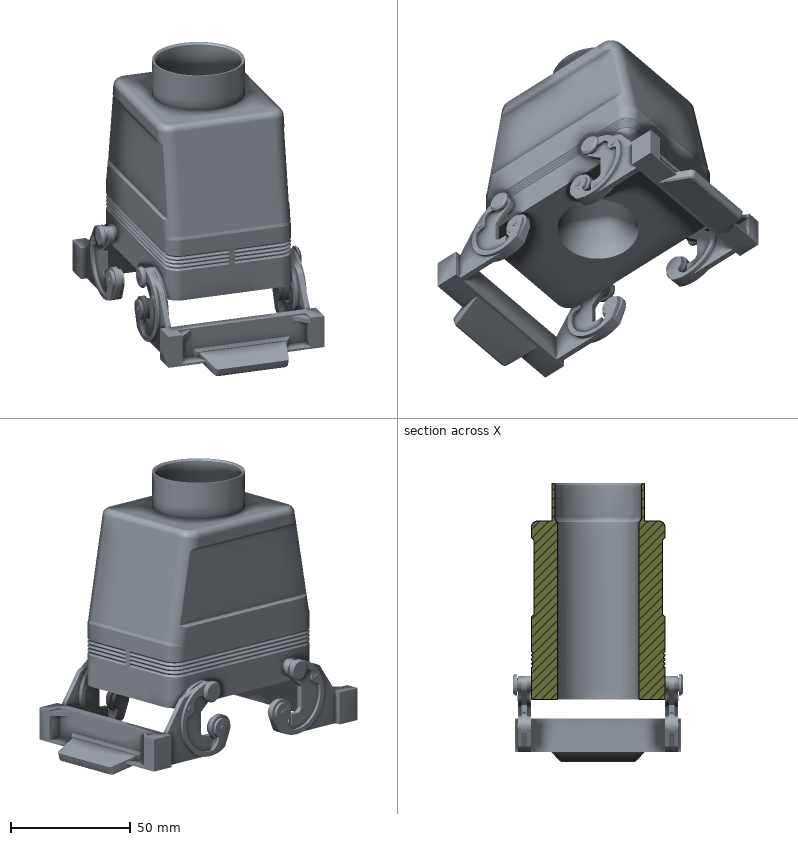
import cadquery as cq
import math

BODY_LENGTH = 82.0
BODY_DEPTH = 56.2
BODY_TOP = 74.9
TOP_LENGTH = 63.5
CORNER_RADIUS = 6.1
TOP_EDGE_RADIUS = 2.9
LEDGE_BOTTOM = 27.1
LEDGE_TOP = 28.5
LEDGE_INSET = 0.5

PANEL_BOTTOM = 34.5
PANEL_TOP = 67.9
PANEL_DEPTH = 1.0

GROOVE_COUNT = 4
GROOVE_TOP = 20.1
GROOVE_PITCH = 1.7
GROOVE_WIDTH = 1.5
GROOVE_SLOPE = 45
GROOVE_GAP = 2.7

COLLAR_TOP = 90.5
COLLAR_RADIUS = 19.4
COLLAR_BORE_RADIUS = 18.1
COLLAR_BORE_FLOOR = 73.7
COLLAR_RIM_CHAMFER = 0.7
COLLAR_RIM_SLOPE = 45
ENTRY_RADIUS = 17.0
COLLAR_ROOT_RADIUS = 2.7

RIM_INSIDE = BODY_DEPTH / 2
WEB_INSIDE = 29.8
WEB_OUTSIDE = 32.1
RIM_OUTSIDE = 33.4
STUD_OUTSIDE = 33.8
PIVOT_HEAD_INSIDE = 33.9
PIVOT_HEAD_OUTSIDE = 35.5

HOOK_X = -24.9
HOOK_Z = -6.1
HOOK_RADIUS = 16.0
RIM_INNER_RADIUS = 13.8
PIVOT_Z = 6.1
EYE_RADIUS = HOOK_Z + HOOK_RADIUS - PIVOT_Z
PIVOT_NECK_RADIUS = 2.8
PIVOT_HEAD_RADIUS = 4.5
PIVOT_HEAD_CHAMFER = 0.8
CURL_X = -17.5
CURL_Z = -11.3
CURL_WEB_RADIUS = 5.5
CURL_RIM_RADIUS = 4.3
STUD_RADIUS = 1.3
LUG_X = -36.5
LUG_Z = 0.5
LUG_RADIUS = 2.5
THROAT_X = -29.0
THROAT_TOP = -2.4
THROAT_BOTTOM = -13.5
THROAT_RADIUS = 2.4
SPUR_X = -23.5
OUTER_BLEND_ANGLE = -58
CURL_BLEND_ANGLE = -30
CURL_JOIN_ANGLE = -122
CURL_TOP_ANGLE = 106
CRESCENT_BEND = (-21.2, -18.1)
EYE_BACK_ANGLE = 109
EYE_FRONT_ANGLE = 20
EYE_THROAT_ANGLE = -52
SHOULDER_FOOT = (-40.3, 3.7)
SHOULDER_BEND = (-39.3, 4.9)
SHOULDER_HEAD = (-37.9, 5.6)
RIM_TIP_RADIUS = 3.0
RIM_NECK_X = -30.2
RIM_NECK_BEND = (-33.0, 4.3)
RIM_NECK_Z = 5.0
LUG_HIGH_ANGLE = 15
LUG_MIDDLE_ANGLE = -40
LUG_LOW_ANGLE = -95
LUG_FOOT_ANGLE = 167

BAR_OUTER_X = -58.8
BAR_INNER_X = -48.6
BAR_DEPTH = 69.5
BAR_TOP = -8.1
BAR_BOTTOM = HOOK_Z - HOOK_RADIUS
BAR_POCKET_REACH = 6.0
BAR_POCKET_DEPTH = 57.2
BAR_FLOOR = 0.9
GUSSET_SIZE = BAR_POCKET_REACH
GUSSET_THICKNESS = 1.9
GUSSET_DROP = 0.7

TAB_TIP_X = -66.5
TAB_WALL_X = BAR_OUTER_X + BAR_POCKET_REACH
TAB_TOP_AT_WALL = -18.8
TAB_TILT = 15.5
TAB_THICKNESS = 4.0
TAB_WALL_HALF = 19.5
TAB_TIP_HALF = 16.2
TAB_CORNER_RADIUS = 2.1
TAB_EDGE_CHAMFER = 0.7
TAB_COLLAR_HALF = 21.4
TAB_COLLAR_SIZE = 1.2


def make_body():
    half = BODY_LENGTH / 2
    side = [(half, 0), (half, LEDGE_BOTTOM), (half - LEDGE_INSET, LEDGE_TOP), (TOP_LENGTH / 2, BODY_TOP)]
    outline = side + [(-x, z) for x, z in reversed(side)]
    body = cq.Workplane("XZ").polyline(outline).close().extrude(BODY_DEPTH / 2, both=True)
    body = body.edges("not(|X or |Y)").fillet(CORNER_RADIUS)
    return body.faces(">Z").edges().fillet(TOP_EDGE_RADIUS)


def panel_cutter():
    face = BODY_DEPTH / 2
    floor = face - PANEL_DEPTH
    outline = [
        (face, PANEL_BOTTOM),
        (floor, PANEL_BOTTOM + PANEL_DEPTH),
        (floor, PANEL_TOP - PANEL_DEPTH),
        (face, PANEL_TOP),
    ]
    cutter = cq.Workplane("YZ").polyline(outline).close().extrude(BODY_LENGTH / 2, both=True)
    return cutter.union(cutter.mirror("XZ"))


def groove_cutter(index):
    """V-shaped ring around the body, left out in the middle of both ends."""
    top = GROOVE_TOP - index * GROOVE_PITCH
    middle = top - GROOVE_WIDTH / 2
    core = (
        cq.Workplane("XY", origin=(0, 0, top))
        .sketch()
        .rect(BODY_LENGTH, BODY_DEPTH)
        .vertices()
        .fillet(CORNER_RADIUS)
        .finalize()
        .extrude(-GROOVE_WIDTH / 2, taper=GROOVE_SLOPE)
    )
    core = core.union(core.mirror("XY", (0, 0, middle)))
    level = cq.Workplane("XY", origin=(0, 0, middle))
    ring = level.rect(2 * BODY_LENGTH, 2 * BODY_DEPTH).extrude(GROOVE_WIDTH / 2, both=True)
    gap = level.rect(2 * BODY_LENGTH, GROOVE_GAP).extrude(GROOVE_WIDTH / 2, both=True)
    return ring.cut(core).cut(gap)


def make_hood():
    hood = make_body().cut(panel_cutter())
    for index in range(GROOVE_COUNT):
        hood = hood.cut(groove_cutter(index))
    collar = cq.Workplane("XY", origin=(0, 0, BODY_TOP)).circle(COLLAR_RADIUS)
    hood = hood.union(collar.extrude(COLLAR_TOP - BODY_TOP))
    entry = cq.Workplane("XY").circle(ENTRY_RADIUS).extrude(COLLAR_TOP)
    bore = cq.Workplane("XY", origin=(0, 0, COLLAR_BORE_FLOOR)).circle(COLLAR_BORE_RADIUS)
    bore = bore.extrude(COLLAR_TOP - COLLAR_BORE_FLOOR).faces("<Z").edges().fillet(COLLAR_ROOT_RADIUS)
    rim = cq.Workplane("XY", origin=(0, 0, COLLAR_TOP)).circle(COLLAR_BORE_RADIUS + COLLAR_RIM_CHAMFER)
    rim = rim.extrude(-COLLAR_RIM_CHAMFER, taper=COLLAR_RIM_SLOPE)
    return hood.cut(entry).cut(bore).cut(rim)


def on_circle(x, z, radius, angle):
    turn = math.radians(angle)
    return (x + radius * math.cos(turn), z + radius * math.sin(turn))


def hook_point(angle):
    return on_circle(HOOK_X, HOOK_Z, HOOK_RADIUS, angle)


def at_depth(inside):
    """XZ plane whose extrusions start at y = -inside and grow towards -Y."""
    return cq.Workplane("XZ", origin=(0, -inside, 0))


def disc(x, z, radius, inside, outside):
    return at_depth(inside).center(x, z).circle(radius).extrude(outside - inside)


def add_curl(outline, radius):
    """Continue an outline from the spur around the curl to the bottom of the hook."""
    return (
        outline.threePointArc(CRESCENT_BEND, on_circle(CURL_X, CURL_Z, radius, CURL_JOIN_ANGLE))
        .threePointArc(
            on_circle(CURL_X, CURL_Z, radius, CURL_TOP_ANGLE),
            on_circle(CURL_X, CURL_Z, radius, CURL_BLEND_ANGLE),
        )
        .lineTo(*hook_point(OUTER_BLEND_ANGLE))
        .threePointArc(hook_point((OUTER_BLEND_ANGLE - 90) / 2), hook_point(-90))
    )


def make_web():
    """Thin plate of the arm, from the handle bar to the hook."""
    spur_end = (SPUR_X, HOOK_Z - RIM_INNER_RADIUS)
    eye_back = on_circle(HOOK_X, PIVOT_Z, EYE_RADIUS, EYE_BACK_ANGLE)
    eye_side = on_circle(HOOK_X, PIVOT_Z, EYE_RADIUS, EYE_THROAT_ANGLE)
    outline = (
        at_depth(WEB_INSIDE)
        .moveTo(*eye_back)
        .threePointArc(on_circle(HOOK_X, PIVOT_Z, EYE_RADIUS, EYE_FRONT_ANGLE), eye_side)
        .lineTo(THROAT_X, THROAT_TOP)
        .lineTo(THROAT_X, THROAT_BOTTOM + THROAT_RADIUS)
        .radiusArc((THROAT_X + THROAT_RADIUS, THROAT_BOTTOM), -THROAT_RADIUS)
        .lineTo(SPUR_X, THROAT_BOTTOM)
        .lineTo(*spur_end)
    )
    outline = (
        add_curl(outline, CURL_WEB_RADIUS)
        .lineTo(BAR_INNER_X, BAR_BOTTOM)
        .lineTo(BAR_INNER_X, BAR_TOP)
        .lineTo(*SHOULDER_FOOT)
        .threePointArc(SHOULDER_BEND, SHOULDER_HEAD)
        .close()
    )
    return outline.extrude(WEB_OUTSIDE - WEB_INSIDE)


def make_rim(inside, outside):
    """Raised hook-shaped layer that lies on either face of the web."""
    lug_high = on_circle(LUG_X, LUG_Z, LUG_RADIUS, LUG_HIGH_ANGLE)
    lug_middle = on_circle(LUG_X, LUG_Z, LUG_RADIUS, LUG_MIDDLE_ANGLE)
    lug_low = on_circle(LUG_X, LUG_Z, LUG_RADIUS, LUG_LOW_ANGLE)
    inner_start = on_circle(HOOK_X, HOOK_Z, RIM_INNER_RADIUS, LUG_FOOT_ANGLE)
    inner_middle = on_circle(HOOK_X, HOOK_Z, RIM_INNER_RADIUS, (LUG_FOOT_ANGLE + 270) / 2)
    spur_end = (SPUR_X, HOOK_Z - RIM_INNER_RADIUS)
    outline = at_depth(inside).moveTo(*spur_end)
    outline = (
        add_curl(outline, CURL_RIM_RADIUS)
        .threePointArc(hook_point(180), hook_point(90))
        .lineTo(HOOK_X, RIM_NECK_Z)
        .lineTo(RIM_NECK_X, RIM_NECK_Z)
        .threePointArc(RIM_NECK_BEND, lug_high)
        .threePointArc(lug_middle, lug_low)
        .lineTo(*inner_start)
        .threePointArc(inner_middle, spur_end)
        .close()
    )
    tip = disc(HOOK_X, HOOK_Z + HOOK_RADIUS - RIM_TIP_RADIUS, RIM_TIP_RADIUS, inside, outside)
    return outline.extrude(outside - inside).union(tip)


def make_arm():
    arm = make_web()
    arm = arm.union(make_rim(RIM_INSIDE, WEB_INSIDE))
    arm = arm.union(make_rim(WEB_OUTSIDE, RIM_OUTSIDE))
    for x, z in [(LUG_X, LUG_Z), (CURL_X, CURL_Z)]:
        arm = arm.union(disc(x, z, STUD_RADIUS, WEB_INSIDE, STUD_OUTSIDE))
    arm = arm.union(disc(HOOK_X, PIVOT_Z, PIVOT_NECK_RADIUS, WEB_INSIDE, PIVOT_HEAD_INSIDE))
    head = disc(HOOK_X, PIVOT_Z, PIVOT_HEAD_RADIUS, PIVOT_HEAD_INSIDE, PIVOT_HEAD_OUTSIDE)
    return arm.union(head.faces("<Y").edges().chamfer(PIVOT_HEAD_CHAMFER))


def box_between(x_low, x_high, depth, z_low, z_high):
    """Box centred on the XZ plane."""
    plane = cq.Workplane("XZ").center((x_low + x_high) / 2, (z_low + z_high) / 2)
    return plane.rect(x_high - x_low, z_high - z_low).extrude(depth / 2, both=True)


def make_tab():
    """Finger tab, tilted down and outwards from the wall of the bar pocket."""
    tilt = math.radians(TAB_TILT)
    length = (TAB_WALL_X - TAB_TIP_X) / math.cos(tilt)
    growth = (TAB_WALL_HALF - TAB_TIP_HALF) / length
    root = (BAR_INNER_X - TAB_WALL_X) / 2
    root_half = TAB_WALL_HALF + growth * root
    outline = [
        (-length, -TAB_TIP_HALF),
        (root, -root_half),
        (root, root_half),
        (-length, TAB_TIP_HALF),
    ]
    tab = cq.Workplane("XY").polyline(outline).close().extrude(-TAB_THICKNESS)
    tab = tab.edges("|Z and <X").fillet(TAB_CORNER_RADIUS)
    tab = tab.faces("<Z").edges("not >X").chamfer(TAB_EDGE_CHAMFER)
    tab = tab.rotate((0, 0, 0), (0, 1, 0), -TAB_TILT)
    return tab.translate((TAB_WALL_X, 0, TAB_TOP_AT_WALL))


def make_tab_collar():
    """Sloped bead where the tab meets the pocket wall."""
    bead = box_between(
        TAB_WALL_X - TAB_COLLAR_SIZE,
        TAB_WALL_X + TAB_COLLAR_SIZE,
        2 * TAB_COLLAR_HALF,
        BAR_BOTTOM,
        TAB_TOP_AT_WALL + TAB_COLLAR_SIZE,
    )
    return bead.faces("<X").edges("not <Z").chamfer(TAB_COLLAR_SIZE)


def make_gusset():
    """Triangular web in the -Y corner of the bar pocket."""
    corner_y = -BAR_POCKET_DEPTH / 2
    outline = [
        (TAB_WALL_X, corner_y),
        (TAB_WALL_X - GUSSET_SIZE, corner_y),
        (TAB_WALL_X, corner_y + GUSSET_SIZE),
    ]
    plane = cq.Workplane("XY", origin=(0, 0, BAR_TOP - GUSSET_DROP))
    return plane.polyline(outline).close().extrude(-GUSSET_THICKNESS)


def make_bar():
    bar = box_between(BAR_OUTER_X, BAR_INNER_X, BAR_DEPTH, BAR_BOTTOM, BAR_TOP)
    pocket = box_between(BAR_OUTER_X, TAB_WALL_X, BAR_POCKET_DEPTH, BAR_BOTTOM + BAR_FLOOR, BAR_TOP)
    gusset = make_gusset()
    bar = bar.cut(pocket).union(gusset).union(gusset.mirror("XZ"))
    return bar.union(make_tab()).union(make_tab_collar())


def make_lever():
    arm = make_arm()
    return make_bar().union(arm).union(arm.mirror("XZ"))


lever = make_lever()
result = make_hood().union(lever).union(lever.mirror("YZ"))